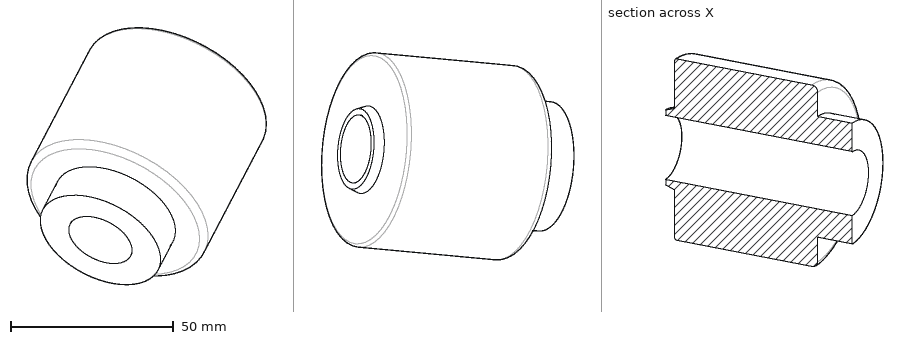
import cadquery as cq

total_length = 65.0
body_diameter = 60.0
boss_diameter = 40.0
bore_diameter = 21.0
boss_length = 12.0
cone_length = 3.0
cone_base_diameter = 27.0
cone_tip_diameter = 24.8
front_fillet = 2.0
rear_fillet = 1.0

body_length = total_length - boss_length - cone_length
body_rear = boss_length + body_length


def cylinder(diameter, start, length):
    """Solid cylinder along +Y from the given start position."""
    plane = cq.Workplane("XZ", origin=(0, start, 0))
    return plane.circle(diameter / 2).extrude(-length)


body = cylinder(body_diameter, boss_length, body_length)
body = body.faces("<Y").edges().fillet(front_fillet)
body = body.faces(">Y").edges().fillet(rear_fillet)

boss = cylinder(boss_diameter, 0, boss_length)

nose = (
    cq.Workplane("XY")
    .moveTo(0, body_rear)
    .lineTo(cone_base_diameter / 2, body_rear)
    .lineTo(cone_tip_diameter / 2, total_length)
    .lineTo(0, total_length)
    .close()
    .revolve(360, (0, 0, 0), (0, 1, 0))
)

bore = cylinder(bore_diameter, 0, total_length)

result = body.union(boss).union(nose).cut(bore)